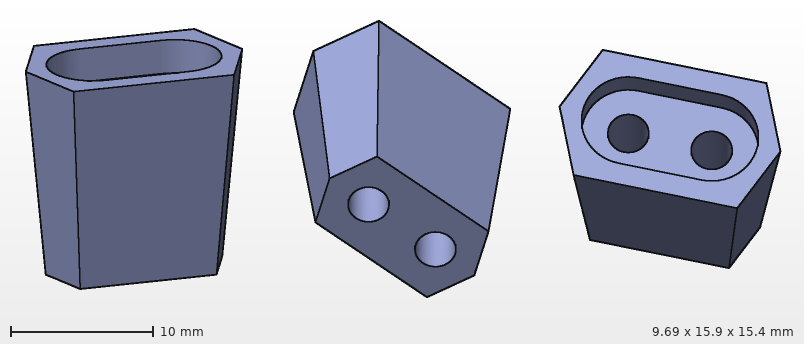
import cadquery as cq

width = 9.69
length = 15.93
height = 15.4
side_length = 11.8
draft_angle = 5.0

pocket_width = 6.6
pocket_depth = 2.5

hole_diameter = 2.88
hole_spacing = 6.0
pocket_length = hole_spacing + pocket_width


def make_body():
    """Hexagonal block narrowing downward from its top face."""
    half_width = width / 2
    half_length = length / 2
    half_side = side_length / 2
    outline = [
        (half_width, -half_side),
        (half_width, half_side),
        (0, half_length),
        (-half_width, half_side),
        (-half_width, -half_side),
        (0, -half_length),
    ]
    return (
        cq.Workplane("XY", origin=(0, 0, height))
        .polyline(outline)
        .close()
        .extrude(-height, taper=draft_angle)
    )


def cut_pocket(body):
    """Sink the rounded pocket, long along Y, into the top face."""
    pocket = (
        cq.Workplane("XY", origin=(0, 0, height - pocket_depth))
        .slot2D(pocket_length, pocket_width, 90)
        .extrude(pocket_depth)
    )
    return body.cut(pocket)


def cut_holes(body):
    """Drill both holes through the pocket floor."""
    holes = (
        cq.Workplane("XY")
        .rarray(0.16, hole_spacing, 1, 2)
        .circle(hole_diameter / 2)
        .extrude(height)
    )
    return body.cut(holes)


result = cut_holes(cut_pocket(make_body()))